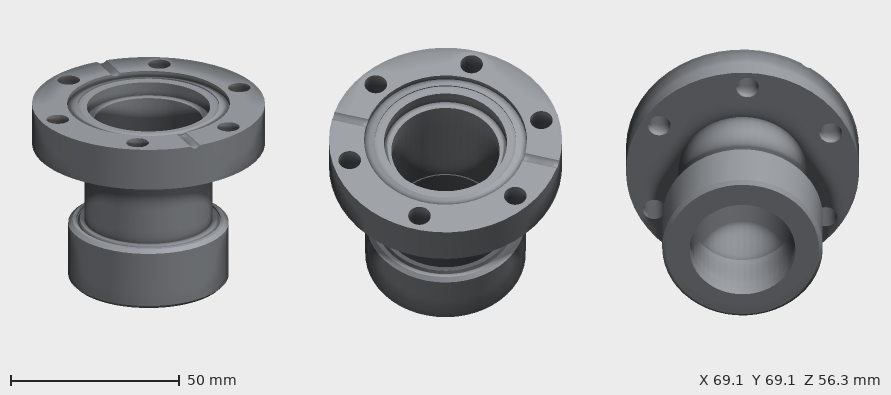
import cadquery as cq

total_height = 56.25

flange_dia = 69.1
flange_thickness = 12.85
flange_bottom_z = total_height - flange_thickness

recess_dia = 48.3
recess_depth = 1.8
knife_dia = 41.95
knife_depth = 0.7
seat_depth = 1.1

counterbore_dia = 36.55
counterbore_depth = 5.25
bore_dia = 32.1
outlet_dia = 31.4
outlet_length = 18.9

neck_dia = 38.1
collar_dia = 47.6
collar_height = 18.9
collar_top_chamfer_width = 1.3
collar_top_chamfer_height = 1.0
collar_bottom_chamfer = 1.1

shoulder_top_dia = 40.75
shoulder_base_dia = 41.95
shoulder_rise = 0.3
rim_groove_dia = 42.85
rim_groove_depth = 0.55

bolt_count = 6
bolt_hole_dia = 6.7
bolt_circle_dia = 58.7

channel_width = 3.05
channel_depth = 0.75


def disc(diameter, bottom_z, top_z):
    """Upright cylinder on the part axis between two heights."""
    return cq.Workplane("XY").workplane(offset=bottom_z).circle(diameter / 2).extrude(top_z - bottom_z)


def make_flange():
    """Flange blank with bolt holes and the channels; the recess later trims the channels."""
    flange = disc(flange_dia, flange_bottom_z, total_height)
    bolts = (
        cq.Workplane("XY")
        .workplane(offset=flange_bottom_z)
        .polarArray(bolt_circle_dia / 2, 90, 360, bolt_count)
        .circle(bolt_hole_dia / 2)
        .extrude(flange_thickness)
    )
    channel = (
        cq.Workplane("YZ")
        .moveTo(-channel_width / 2, total_height)
        .threePointArc((0, total_height - channel_depth), (channel_width / 2, total_height))
        .close()
        .extrude(flange_dia / 2, both=True)
    )
    channel = channel.cut(disc(recess_dia, flange_bottom_z, total_height))
    return flange.cut(bolts).cut(channel)


def make_recess():
    """Material above the seal: a sloped floor rises inward to the knife edge, then drops to a flat seat."""
    return (
        cq.Workplane("XZ")
        .moveTo(0, total_height)
        .lineTo(recess_dia / 2, total_height)
        .lineTo(recess_dia / 2, total_height - recess_depth)
        .lineTo(knife_dia / 2, total_height - knife_depth)
        .lineTo(knife_dia / 2, total_height - seat_depth)
        .lineTo(0, total_height - seat_depth)
        .close()
        .revolve(360, (0, 0, 0), (0, 1, 0))
    )


def make_collar():
    """Chamfered collar with the rim groove and the raised, tapered shoulder inside it."""
    collar = disc(collar_dia, 0, collar_height)
    collar = collar.faces("<Z").chamfer(collar_bottom_chamfer)
    collar = collar.faces(">Z").chamfer(collar_top_chamfer_height, collar_top_chamfer_width)
    groove_bottom_z = collar_height - rim_groove_depth
    shoulder_top_z = collar_height + shoulder_rise
    collar = collar.cut(disc(rim_groove_dia, groove_bottom_z, collar_height))
    shoulder = cq.Workplane(
        cq.Solid.makeCone(
            shoulder_base_dia / 2,
            shoulder_top_dia / 2,
            shoulder_top_z - groove_bottom_z,
            pnt=cq.Vector(0, 0, groove_bottom_z),
        )
    )
    return collar.union(shoulder)


neck = disc(neck_dia, collar_height, flange_bottom_z)
bore = (
    disc(outlet_dia, 0, outlet_length)
    .union(disc(bore_dia, outlet_length, total_height))
    .union(disc(counterbore_dia, total_height - counterbore_depth, total_height))
)

result = make_flange().union(neck).union(make_collar()).cut(make_recess()).cut(bore)